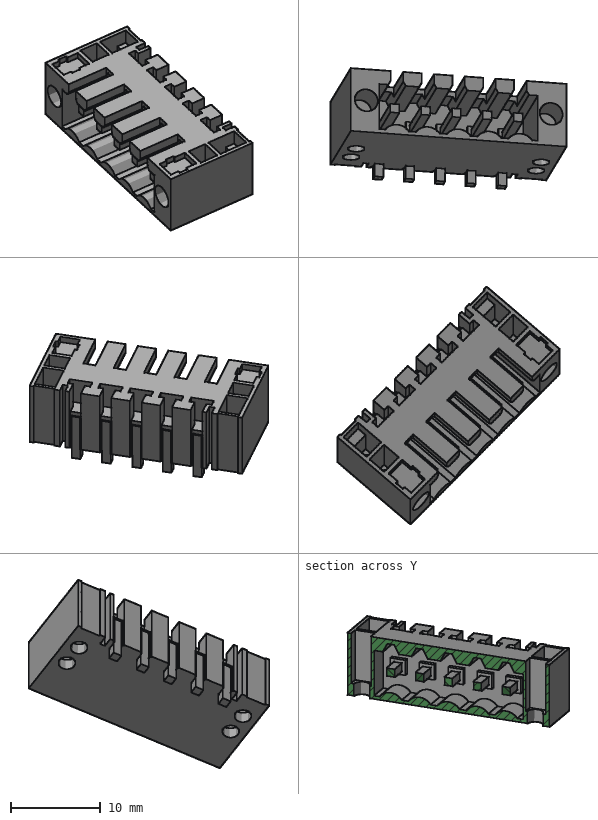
import cadquery as cq

POSITIONS = 5
PITCH = 3.5
WIDTH = (POSITIONS + 2) * PITCH
DEPTH = 11.05
HEIGHT = 7.45
contact_x = [(i - (POSITIONS - 1) / 2) * PITCH for i in range(POSITIONS)]
SIDES = (-1, 1)
CUT_MARGIN = 1.0

PIN = 1.0
PIN_Z = 3.5
PIN_TIP_Y = 1.2
PIN_TAIL = 1.5
PIN_REAR_GAP = 0.35
PIN_REAR_Y = DEPTH - PIN_REAR_GAP
PIN_TOP = PIN_Z + PIN / 2

CAVITY_WIDTH = 18.0
CAVITY_FLOOR = 0.45
CAVITY_TOP = 5.8
CAVITY_DEPTH = 8.0

RIDGE_WIDTH = 2.7
RIDGE_HEIGHT = 0.68
KEYWAY_TOP = 6.85
KEYWAY_BASE_WIDTH = 1.95
KEYWAY_TOP_WIDTH = 0.8
COLLAR = 1.8
COLLAR_LENGTH = 0.5

SLOT_WIDTH = 1.4
SLOT_LENGTH = 5.05

NECK_WIDTH = 1.36
NECK_LENGTH = 1.65
T_WIDTH = 2.6
T_LENGTH = 2.5
T_FLOOR = 4.5
LEDGE_WIDTH = 0.55
REAR_RECESS = 0.1
CHANNEL_WIDTH = 1.06

NOTCH_X = 8.45
NOTCH_WIDTH = 0.6
NOTCH_LENGTH = 1.2
REAR_RELIEF = 0.15

END_X = WIDTH / 2 - PITCH / 2
SCREW_HOLE_D = 2.6
SCREW_HOLE_Z = 3.75
SCREW_HOLE_DEPTH = 3.5
POCKET_OUTER_X = WIDTH / 2 - 0.47
POCKET_WIDTH = 2.37
POCKET_X = POCKET_OUTER_X - POCKET_WIDTH / 2
POCKET_FLOOR = 1.5
REAR_POCKET_Y = (7.05, 10.52)
MIDDLE_POCKET_Y = (4.4, 6.6)
STEP_Y = 9.38
STEP_Z = 5.65
VERTICAL_HOLE_D = 1.86
VERTICAL_HOLE_Y = (5.48, 8.2)
NUT_POCKET_X = 10.48
NUT_POCKET_WIDTH = 2.23
NUT_POCKET_Y = (0.48, 3.9)
NUT_POCKET_DEPTH = 0.72
WING_X = 10.5
WING_WIDTH = 2.75
WING_Y = (1.48, 2.54)


def block(x_center, x_size, y_range, z_range):
    """Box centred on x_center that fills the given Y and Z ranges."""
    y_start, y_end = y_range
    z_start, z_end = z_range
    box = cq.Workplane("XY").box(x_size, y_end - y_start, z_end - z_start, centered=(True, False, False))
    return box.translate((x_center, y_start, z_start))


def make_cavity():
    """Plug cavity with a rounded ridge below, a tapered keyway above and a collar around each pin."""
    depth_range = (-CUT_MARGIN, CAVITY_DEPTH)
    cutter_length = CAVITY_DEPTH + CUT_MARGIN
    front = cq.Workplane("XZ", origin=(0, -CUT_MARGIN, 0))
    cavity = block(0, CAVITY_WIDTH, depth_range, (CAVITY_FLOOR, CAVITY_TOP))
    for x in contact_x:
        ridge = (
            front.moveTo(x - RIDGE_WIDTH / 2, CAVITY_FLOOR)
            .threePointArc((x, CAVITY_FLOOR + RIDGE_HEIGHT), (x + RIDGE_WIDTH / 2, CAVITY_FLOOR))
            .close()
            .extrude(-cutter_length)
        )
        keyway = (
            front.moveTo(x - KEYWAY_BASE_WIDTH / 2, CAVITY_TOP)
            .lineTo(x - KEYWAY_TOP_WIDTH / 2, KEYWAY_TOP)
            .lineTo(x + KEYWAY_TOP_WIDTH / 2, KEYWAY_TOP)
            .lineTo(x + KEYWAY_BASE_WIDTH / 2, CAVITY_TOP)
            .close()
            .extrude(-cutter_length)
        )
        collar_z = (PIN_Z - COLLAR / 2, PIN_Z + COLLAR / 2)
        collar = block(x, COLLAR, (CAVITY_DEPTH - COLLAR_LENGTH, CAVITY_DEPTH), collar_z)
        cavity = cavity.cut(ridge).union(keyway).cut(collar)
    return cavity


def make_contact_cut(x):
    """Coding slot, rear T-pocket and pin tail channel at one contact position."""
    to_above = HEIGHT + CUT_MARGIN
    to_behind = DEPTH + CUT_MARGIN
    slot = block(x, SLOT_WIDTH, (-CUT_MARGIN, SLOT_LENGTH), (CAVITY_TOP, to_above))
    neck = block(x, NECK_WIDTH, (DEPTH - NECK_LENGTH, to_behind), (T_FLOOR, to_above))
    bar = block(x, T_WIDTH, (DEPTH - T_LENGTH, DEPTH - NECK_LENGTH), (T_FLOOR, to_above))
    ledge = block(x, NECK_WIDTH, (DEPTH - LEDGE_WIDTH, to_behind), (PIN_TOP, to_above))
    recess = block(x, NECK_WIDTH, (DEPTH - REAR_RECESS, to_behind), (-CUT_MARGIN, to_above))
    channel = block(x, CHANNEL_WIDTH, (PIN_REAR_Y, to_behind), (-CUT_MARGIN, PIN_TOP))
    return slot.union(neck).union(bar).union(ledge).union(recess).union(channel)


def make_end_cut(side):
    """Pockets, holes and rear edge cuts of one end block; side is -1 or +1."""
    to_above = HEIGHT + CUT_MARGIN
    to_behind = DEPTH + CUT_MARGIN
    full_height = (-CUT_MARGIN, to_above)
    pocket_x = side * POCKET_X
    nut_z = (HEIGHT - NUT_POCKET_DEPTH, to_above)

    cut = block(pocket_x, POCKET_WIDTH, REAR_POCKET_Y, (POCKET_FLOOR, to_above))
    cut = cut.cut(block(pocket_x, POCKET_WIDTH, (STEP_Y, REAR_POCKET_Y[1]), (POCKET_FLOOR, STEP_Z)))
    cut = cut.union(block(pocket_x, POCKET_WIDTH, MIDDLE_POCKET_Y, (POCKET_FLOOR, to_above)))
    cut = cut.union(block(side * NUT_POCKET_X, NUT_POCKET_WIDTH, NUT_POCKET_Y, nut_z))
    cut = cut.union(block(side * WING_X, WING_WIDTH, WING_Y, nut_z))
    cut = cut.union(block(pocket_x, POCKET_WIDTH, (DEPTH - REAR_RELIEF, to_behind), full_height))
    cut = cut.union(block(side * NOTCH_X, NOTCH_WIDTH, (DEPTH - NOTCH_LENGTH, to_behind), full_height))
    for y in VERTICAL_HOLE_Y:
        hole = cq.Workplane("XY").center(side * END_X, y).circle(VERTICAL_HOLE_D / 2)
        cut = cut.union(hole.extrude(HEIGHT))
    screw_hole = cq.Workplane("XZ").center(side * END_X, SCREW_HOLE_Z).circle(SCREW_HOLE_D / 2)
    return cut.union(screw_hole.extrude(-SCREW_HOLE_DEPTH))


def make_pin(x):
    """Square L-shaped pin: contact blade along Y and solder tail down at the rear."""
    return (
        cq.Workplane("YZ", origin=(x - PIN / 2, 0, 0))
        .moveTo(PIN_TIP_Y, PIN_TOP)
        .lineTo(PIN_REAR_Y, PIN_TOP)
        .lineTo(PIN_REAR_Y, -PIN_TAIL)
        .lineTo(PIN_REAR_Y - PIN, -PIN_TAIL)
        .lineTo(PIN_REAR_Y - PIN, PIN_TOP - PIN)
        .lineTo(PIN_TIP_Y, PIN_TOP - PIN)
        .close()
        .extrude(PIN)
    )


pins = [make_pin(x) for x in contact_x]

housing = block(0, WIDTH, (0, DEPTH), (0, HEIGHT)).cut(make_cavity())
for x in contact_x:
    housing = housing.cut(make_contact_cut(x))
for side in SIDES:
    housing = housing.cut(make_end_cut(side))
for pin in pins:
    housing = housing.cut(pin)

result = cq.Compound.makeCompound([housing.val(), *[pin.val() for pin in pins]])